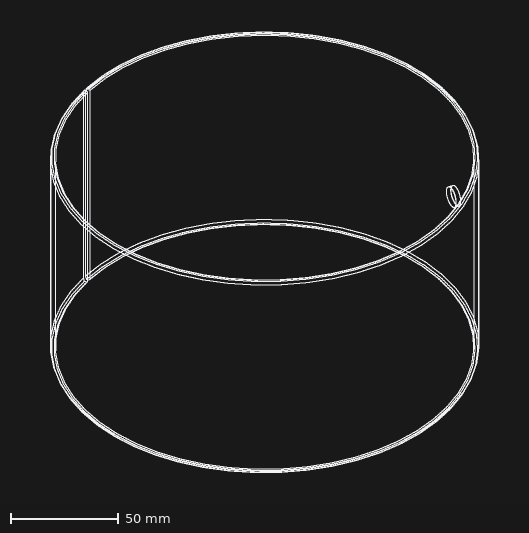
import cadquery as cq

outer_diameter = 200.0
height = 110.0
wall = 2.5

chamfer_depth = 0.5
chamfer_height = 1.5

inner_chamfer = 0.5

slit_width = 1.8

hole_diameter = 10.0
hole_angle = 59.0

outer_radius = outer_diameter / 2
inner_radius = outer_radius - wall


def make_ring():
    """Revolve the wall section, chamfered at its four corners."""
    section = [
        (inner_radius + inner_chamfer, 0),
        (outer_radius - chamfer_depth, 0),
        (outer_radius, chamfer_height),
        (outer_radius, height - chamfer_height),
        (outer_radius - chamfer_depth, height),
        (inner_radius + inner_chamfer, height),
        (inner_radius, height - inner_chamfer),
        (inner_radius, inner_chamfer),
    ]
    ring = cq.Workplane("XZ").polyline(section).close().revolve(360, (0, 0, 0), (0, 1, 0))
    return ring.rotate((0, 0, 0), (0, 0, 1), 180)


def make_slit():
    """Thin plate reaching from the ring axis past the wall on the -X side."""
    slit_length = outer_diameter
    plate = cq.Workplane("XY").box(slit_length, slit_width, height, centered=(True, False, False))
    return plate.translate((-slit_length / 2, 0, 0))


def make_hole():
    """Cylinder from the ring axis outwards, turned to the hole angle."""
    cylinder = (
        cq.Workplane("YZ")
        .center(0, height / 2)
        .circle(hole_diameter / 2)
        .extrude(outer_diameter)
    )
    return cylinder.rotate((0, 0, 0), (0, 0, 1), hole_angle)


result = make_ring().cut(make_slit()).cut(make_hole())